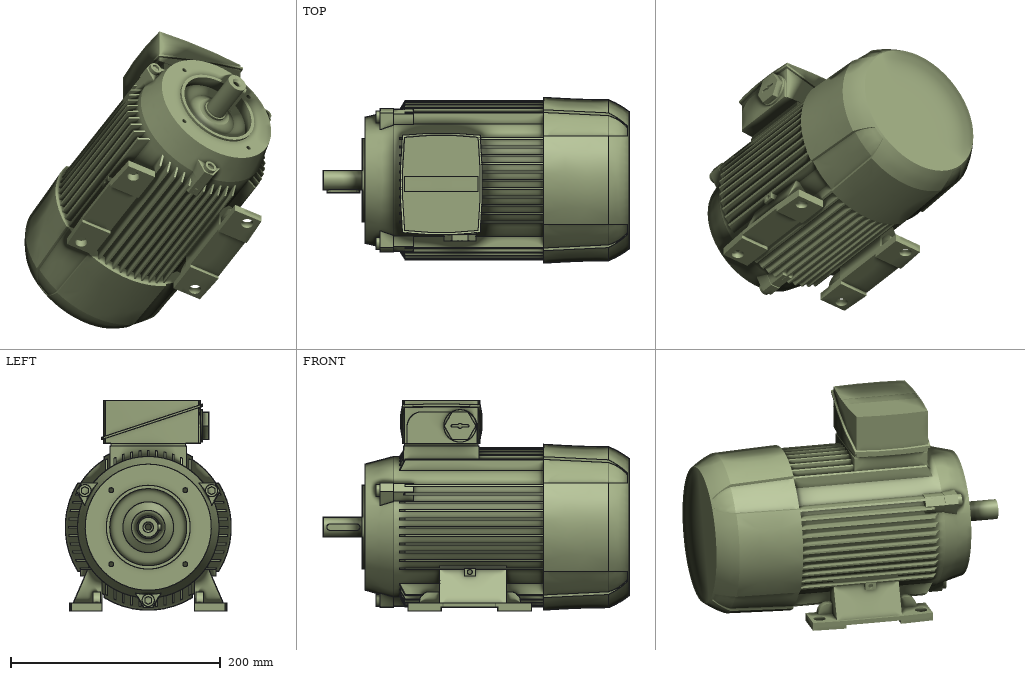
import cadquery as cq
import math

LENGTH = 292.0
EPS = 0.3

SHAFT_R = 19.0 / 2
COLLAR_R = 22.0 / 2
COLLAR_X = 41.5
KEY_START, KEY_END = 3.5, 35.0
KEY_WIDTH = 6.0
KEY_TOP = 12.0
CENTRE_MOUTH_R, CENTRE_HOLE_R = 5.0, 3.0
CENTRE_DEPTH = 8.8

SPIGOT_X, SPIGOT_R = 37.0, 40.0
FACE_X, FACE_R = 39.7, 60.2
BORE_R, BORE_FLOOR_X = 36.8, 48.8
HUB_X, HUB_TIP_R, HUB_BASE_R = 43.8, 16.0, 24.2
TAPPED_CIRCLE_R, TAPPED_HOLE_R, TAPPED_DEPTH = 50.0, 2.3, 8.8
TAPPED_COUNT, TAPPED_START_ANGLE = 4, 45

FRAME_X, FRAME_R = 67.2, 67.5
FIN_X, FIN_FULL_X, FIN_TIP_R = 73.0, 78.3, 76.0
FIN_THICKNESS = 1.8
FINS_EACH_SIDE = 5
OUTERMOST_FIN = 39.7
FIN_PITCH = OUTERMOST_FIN / FINS_EACH_SIDE

COWL_X, COWL_R = 210.2, 158.5 / 2
COWL_KNEE_X, COWL_KNEE_R = 272.0, 76.8
COWL_END_R = 65.5
COWL_MID_X, COWL_MID_R = 282.5, 71.8
RECESS_EDGE = 42.0
RECESS_DEPTH = 2.2
RECESS_END_X = LENGTH - 1.8

LUG_X, LUG_END_X = 54.3, 86.0
LUG_TIP_R, LUG_ROOT_R = 76.5, 63.0
LUG_TIP_HALF, LUG_ROOT_HALF = 4.7, 12.3
LUG_STEP = 1.0
LUG_ANGLES = (30, 150, 270)
BOLT_CIRCLE_R, BOLT_R, BOLT_X = 69.8, 5.8, 50.2
SOCKET_R, SOCKET_DEPTH = 3.8, 2.3

FOOT_BOTTOM, FOOT_TOP = -80.0, -72.0
FOOT_X, FOOT_END_X = 81.0, 198.9
FOOT_INNER_Y, FOOT_OUTER_Y = 44.0, 75.0
RELIEF_X, RELIEF_END_X = 112.7, 166.5
RELIEF_HEIGHT = 3.5
FOOT_TIP_Y = 73.0
FLANK_X, FLANK_END_X = 114.5, 164.5
FOOT_HOLE_R, FOOT_HOLE_Y = 5.8, 62.5
FOOT_HOLE_XS = (90.0, 189.8)
LEG_X, LEG_END_X = 111.0, 175.0
LEG_BASE_Y, LEG_TOP_Y, LEG_TOP_Z = 71.5, 56.5, -37.0
EAR_X, EAR_END_X = 91.7, 188.3
EAR_INNER_Y, EAR_OUTER_Y, EAR_TOP, EAR_ROUND = 45.5, 52.5, -61.5, 9.5
EARTH_X, EARTH_WIDTH, EARTH_Y = 140.0, 10.5, 64.8
EARTH_TOP, EARTH_BOTTOM = -38.8, -46.7
EARTH_HOLE_R, EARTH_HOLE_DEPTH = 2.3, 3.0

BOX_X, BOX_Y = 112.7, -3.5
BOX_LENGTH, BOX_WIDTH = 70.0, 88.8
BOX_BULGE = 2.0
BOX_BOTTOM, BOX_TOP = 80.0, 121.0
RIM_ANGLE, RIM_THICKNESS, RIM_OVERHANG = 18.2, 2.0, 2.0
PEDESTAL_LENGTH, PEDESTAL_WIDTH, PEDESTAL_TOP = 72.0, 73.0, 77.5
NECK_INSET = 1.0
PAD_X, PAD_END_X, PAD_TOP, PAD_ROUND = 80.0, 147.0, 110.0, 14.3
PAD_Y = BOX_Y - BOX_WIDTH / 2 - BOX_BULGE
LABEL_WIDTH, LABEL_DEPTH = 14.5, 0.3

PLUG_X, PLUG_Z = 130.5, 96.7
WASHER_R, WASHER_THICKNESS = 15.5, 2.0
PLUG_FLATS, PLUG_HEIGHT = 26.3, 5.8
SLOT_LENGTH, SLOT_WIDTH, SLOT_DEPTH, SLOT_EYE_R = 17.0, 2.3, 1.2, 2.3


def block(x0, x1, y0, y1, z0, z1):
    """Box between two limits on each axis."""
    return cq.Workplane("XY").box(x1 - x0, y1 - y0, z1 - z0, centered=False).translate((x0, y0, z0))


def rod(x0, x1, radius, y=0.0):
    """Round bar parallel to X."""
    return cq.Workplane("YZ", origin=(x0, y, 0)).circle(radius).extrude(x1 - x0)


def outline(x, radius):
    """Start of an outline drawn as X against radius."""
    return cq.Workplane("XZ").moveTo(x, radius)


def turn(profile):
    """Revolve an outline about the shaft axis."""
    return profile.close().revolve(360, (0, 0, 0), (1, 0, 0))


def mirrored(body):
    """Body together with its mirror image across the XZ plane."""
    return body.union(body.mirror("XZ"))


def end_shield():
    shield = turn(
        outline(SPIGOT_X, 0).lineTo(SPIGOT_X, SPIGOT_R).lineTo(FACE_X, SPIGOT_R)
        .lineTo(FACE_X, FACE_R).lineTo(FRAME_X, FRAME_R).lineTo(FRAME_X, 0)
    )
    bore = rod(SPIGOT_X, BORE_FLOOR_X, BORE_R)
    hub = turn(
        outline(HUB_X, 0).lineTo(HUB_X, HUB_TIP_R)
        .lineTo(BORE_FLOOR_X, HUB_BASE_R).lineTo(BORE_FLOOR_X, 0)
    )
    tapped_holes = (
        cq.Workplane("YZ", origin=(FACE_X, 0, 0))
        .polarArray(TAPPED_CIRCLE_R, TAPPED_START_ANGLE, 360, TAPPED_COUNT)
        .circle(TAPPED_HOLE_R).extrude(TAPPED_DEPTH)
    )
    return shield.cut(bore).union(hub).cut(tapped_holes)


def shaft():
    bar = rod(0, BORE_FLOOR_X + EPS, SHAFT_R).union(rod(COLLAR_X, BORE_FLOOR_X + EPS, COLLAR_R))
    key = (
        cq.Workplane("XZ", origin=((KEY_START + KEY_END) / 2, 0, 0))
        .slot2D(KEY_END - KEY_START, KEY_WIDTH).extrude(KEY_TOP)
    )
    mouth_depth = CENTRE_MOUTH_R - CENTRE_HOLE_R
    centre_hole = turn(
        outline(0, 0).lineTo(0, CENTRE_MOUTH_R).lineTo(mouth_depth, CENTRE_HOLE_R)
        .lineTo(CENTRE_DEPTH, CENTRE_HOLE_R).lineTo(CENTRE_DEPTH, 0)
    )
    return bar.union(key).cut(centre_hole)


def finned_frame():
    envelope = turn(
        outline(FIN_X, 0).lineTo(FIN_X, FRAME_R).lineTo(FIN_FULL_X, FIN_TIP_R)
        .lineTo(COWL_X, FIN_TIP_R).lineTo(COWL_X, 0)
    )
    frame = rod(FRAME_X, COWL_X, FRAME_R)
    half = FIN_THICKNESS / 2
    for step in range(-FINS_EACH_SIDE, FINS_EACH_SIDE + 1):
        place = step * FIN_PITCH
        level = block(FIN_X, COWL_X, -FIN_TIP_R, FIN_TIP_R, place - half, place + half)
        upright = block(FIN_X, COWL_X, place - half, place + half, -FIN_TIP_R, FIN_TIP_R)
        frame = frame.union(level.union(upright).intersect(envelope))
    return frame


def fan_cowl():
    cowl = turn(
        outline(COWL_X, 0).lineTo(COWL_X, COWL_R).lineTo(COWL_KNEE_X, COWL_KNEE_R)
        .threePointArc((COWL_MID_X, COWL_MID_R), (LENGTH, COWL_END_R)).lineTo(LENGTH, 0)
    )
    core = turn(
        outline(COWL_X, 0).lineTo(COWL_X, COWL_R - RECESS_DEPTH)
        .lineTo(COWL_KNEE_X, COWL_KNEE_R - RECESS_DEPTH)
        .threePointArc((COWL_MID_X, COWL_MID_R - RECESS_DEPTH / 2), (RECESS_END_X, COWL_END_R))
        .lineTo(RECESS_END_X, 0)
    )
    for side in (-1, 1):
        for level in (-1, 1):
            low_y, high_y = sorted((side * RECESS_EDGE, side * COWL_R))
            low_z, high_z = sorted((level * RECESS_EDGE, level * COWL_R))
            corner = block(COWL_X, RECESS_END_X, low_y, high_y, low_z, high_z)
            cowl = cowl.cut(corner.cut(core))
    return cowl


def lug_bar(x0, x1, step):
    """Length of lug pointing along +Y, with its tapered section lowered by a step."""
    tip_r = LUG_TIP_R - step
    root_r = LUG_ROOT_R - step
    return (
        cq.Workplane("YZ", origin=(x0, 0, 0))
        .polyline([
            (0, -LUG_ROOT_HALF), (root_r, -LUG_ROOT_HALF), (tip_r, -LUG_TIP_HALF),
            (tip_r, LUG_TIP_HALF), (root_r, LUG_ROOT_HALF), (0, LUG_ROOT_HALF),
        ]).close().extrude(x1 - x0)
    )


def clamping_lug(angle):
    """Tapered lug with a socket-head bolt, turned about the shaft axis to the given angle."""
    lug = lug_bar(LUG_X, FRAME_X, 0).union(lug_bar(FRAME_X, LUG_END_X, LUG_STEP))
    socket = (
        cq.Workplane("YZ", origin=(BOLT_X, BOLT_CIRCLE_R, 0))
        .polygon(6, 2 * SOCKET_R).extrude(SOCKET_DEPTH)
    )
    bolt = rod(BOLT_X, LUG_X + EPS, BOLT_R, BOLT_CIRCLE_R).cut(socket)
    return lug.union(bolt).rotate((0, 0, 0), (1, 0, 0), angle)


def foot():
    """Foot on the +Y side: plate with two pads, sloping leg, rounded ears and earth terminal."""
    plate = (
        cq.Workplane("XY", origin=(0, 0, FOOT_BOTTOM))
        .polyline([
            (FOOT_X, FOOT_INNER_Y), (FOOT_X, FOOT_TIP_Y), (FLANK_X, FOOT_OUTER_Y),
            (FLANK_END_X, FOOT_OUTER_Y), (FOOT_END_X, FOOT_TIP_Y), (FOOT_END_X, FOOT_INNER_Y),
        ]).close().extrude(FOOT_TOP - FOOT_BOTTOM)
    )
    under_relief = block(
        RELIEF_X, RELIEF_END_X, FOOT_INNER_Y, FOOT_OUTER_Y, FOOT_BOTTOM, FOOT_BOTTOM + RELIEF_HEIGHT
    )
    holes = (
        cq.Workplane("XY", origin=(0, FOOT_HOLE_Y, FOOT_BOTTOM))
        .pushPoints([(x, 0) for x in FOOT_HOLE_XS]).circle(FOOT_HOLE_R).extrude(FOOT_TOP - FOOT_BOTTOM)
    )
    leg = (
        cq.Workplane("YZ", origin=(LEG_X, 0, 0))
        .polyline([
            (FOOT_INNER_Y, FOOT_TOP - EPS), (LEG_BASE_Y, FOOT_TOP - EPS), (LEG_BASE_Y, FOOT_TOP),
            (LEG_TOP_Y, LEG_TOP_Z), (FOOT_INNER_Y, LEG_TOP_Z),
        ]).close().extrude(LEG_END_X - LEG_X)
    )
    ears = (
        block(EAR_X, EAR_END_X, EAR_INNER_Y, EAR_OUTER_Y, FOOT_TOP - EPS, EAR_TOP)
        .edges("|Y and >Z").fillet(EAR_ROUND)
    )
    earth_block = block(
        EARTH_X - EARTH_WIDTH / 2, EARTH_X + EARTH_WIDTH / 2, FOOT_INNER_Y, EARTH_Y, EARTH_BOTTOM, EARTH_TOP
    )
    earth_hole = (
        cq.Workplane("XZ", origin=(EARTH_X, EARTH_Y, (EARTH_TOP + EARTH_BOTTOM) / 2))
        .circle(EARTH_HOLE_R).extrude(EARTH_HOLE_DEPTH)
    )
    earth_terminal = earth_block.cut(earth_hole)
    return plate.cut(under_relief).cut(holes).union(leg).union(ears).union(earth_terminal)


def bowed_prism(margin, bottom, top):
    """Upright prism on the box outline, whose four sides bow outward, grown by a margin."""
    half_x = BOX_LENGTH / 2 + margin
    half_y = BOX_WIDTH / 2 + margin
    return (
        cq.Workplane("XY", origin=(BOX_X, BOX_Y, bottom)).moveTo(-half_x, -half_y)
        .threePointArc((0, -half_y - BOX_BULGE), (half_x, -half_y))
        .threePointArc((half_x + BOX_BULGE, 0), (half_x, half_y))
        .threePointArc((0, half_y + BOX_BULGE), (-half_x, half_y))
        .threePointArc((-half_x - BOX_BULGE, 0), (-half_x, -half_y))
        .close().extrude(top - bottom)
    )


def terminal_box():
    pedestal = (
        cq.Workplane("XY").rect(PEDESTAL_LENGTH, PEDESTAL_WIDTH).extrude(PEDESTAL_TOP)
        .translate((BOX_X, 0, 0))
    )
    neck = (
        cq.Workplane("XY").rect(PEDESTAL_LENGTH - 2 * NECK_INSET, PEDESTAL_WIDTH - 2 * NECK_INSET)
        .extrude(BOX_BOTTOM + EPS).translate((BOX_X, 0, 0))
    )
    box = bowed_prism(0, BOX_BOTTOM, BOX_TOP)
    slab = (
        cq.Workplane("XY").box(2 * BOX_LENGTH, 2 * BOX_WIDTH, RIM_THICKNESS)
        .rotate((0, 0, 0), (1, 0, 0), -RIM_ANGLE)
        .translate((BOX_X, BOX_Y, (BOX_BOTTOM + BOX_TOP) / 2))
    )
    rim = bowed_prism(RIM_OVERHANG, BOX_BOTTOM, BOX_TOP).intersect(slab)
    pad = (
        block(PAD_X, PAD_END_X, PAD_Y, BOX_Y, BOX_BOTTOM, PAD_TOP)
        .edges("|Y and >Z").fillet(PAD_ROUND)
    )
    label = (
        cq.Workplane("XY", origin=(BOX_X, BOX_Y, BOX_TOP - LABEL_DEPTH))
        .rect(BOX_LENGTH, LABEL_WIDTH).extrude(LABEL_DEPTH)
    )
    return pedestal.union(neck).union(box).union(rim).union(pad).cut(label)


def entry_plug():
    """Slotted hexagon plug on a washer, on the -Y side of the terminal box."""
    hex_y = PAD_Y - WASHER_THICKNESS
    cap_y = hex_y - PLUG_HEIGHT
    washer = (
        cq.Workplane("XZ", origin=(PLUG_X, PAD_Y + EPS, PLUG_Z)).circle(WASHER_R)
        .extrude(WASHER_THICKNESS + EPS)
    )
    across_corners = PLUG_FLATS / math.cos(math.radians(30))
    head = (
        cq.Workplane("XZ", origin=(PLUG_X, hex_y, PLUG_Z)).polygon(6, across_corners)
        .extrude(PLUG_HEIGHT)
    )
    cap = cq.Workplane("XZ", origin=(PLUG_X, cap_y, PLUG_Z))
    slot = cap.slot2D(SLOT_LENGTH, SLOT_WIDTH).extrude(-SLOT_DEPTH)
    eye = cap.circle(SLOT_EYE_R).extrude(-SLOT_DEPTH)
    return washer.union(head).cut(slot.union(eye))


result = finned_frame().union(fan_cowl()).union(end_shield()).union(shaft())
for lug_angle in LUG_ANGLES:
    result = result.union(clamping_lug(lug_angle))
result = result.union(mirrored(foot())).union(terminal_box()).union(entry_plug())